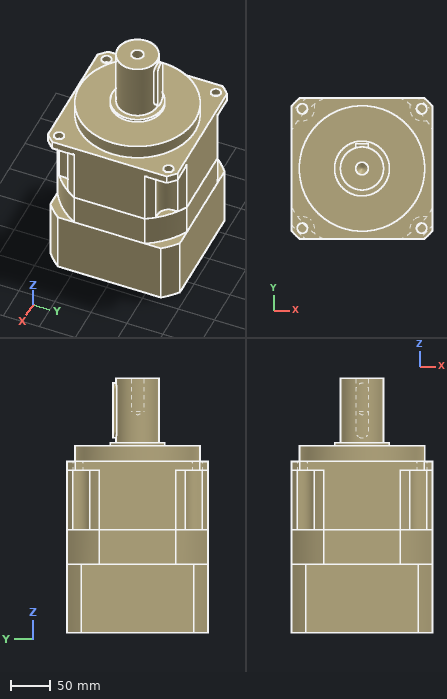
import cadquery as cq
import math

adapter_height = 87.5
ring_height = 44.0
housing_height = 87.0
flange_thickness = 11.5
pilot_height = 20.0
collar_height = 4.0
shaft_length = 82.0

ring_bottom = adapter_height
housing_bottom = ring_bottom + ring_height
housing_top = housing_bottom + housing_height
flange_bottom = housing_top - flange_thickness
pilot_top = housing_top + pilot_height
collar_top = pilot_top + collar_height
shaft_top = collar_top + shaft_length

body_width = 180.0
adapter_corner_diameter = 230.0
body_corner_diameter = 205.0
flange_corner_diameter = 240.0
pilot_diameter = 160.0

bolt_circle_diameter = 215.0
bolt_hole_diameter = 13.0
relief_radius = 15.0
bolt_offset = bolt_circle_diameter / 2 * math.sqrt(0.5)

shaft_diameter = 55.0
collar_diameter = 70.0
centre_hole_diameter = 16.0
centre_hole_depth = 42.0
drill_point_angle = 118.0

key_width = 16.0
key_length = 70.0
key_thickness = 10.0
key_top_from_axis = 31.5
key_end_gap = 6.0


def rounded_square(bottom, height, corner_diameter):
    """Square block whose corners are turned to a circle about the axis."""
    square = cq.Workplane("XY").workplane(offset=bottom).rect(body_width, body_width).extrude(height)
    disc = cq.Workplane("XY").workplane(offset=bottom).circle(corner_diameter / 2).extrude(height)
    return square.intersect(disc)


def cylinder(bottom, height, diameter):
    """Plain disc or bar on the gearbox axis."""
    return cq.Workplane("XY").workplane(offset=bottom).circle(diameter / 2).extrude(height)


def make_corner_relief():
    """Corner block whose inner edge is rounded about the bolt axis in the +X +Y corner."""
    inner = bolt_offset - relief_radius
    size = body_width / 2 - inner
    return (
        cq.Workplane("XY")
        .workplane(offset=housing_bottom)
        .center(inner, inner)
        .rect(size, size, centered=False)
        .extrude(flange_bottom - housing_bottom)
        .edges("|Z and <X and <Y")
        .fillet(relief_radius)
    )


def make_housing():
    """Output housing with relieved corners, bolting flange and locating pilot."""
    body = rounded_square(housing_bottom, flange_bottom - housing_bottom, body_corner_diameter)
    relief = make_corner_relief()
    for quarter_turn in (0, 90, 180, 270):
        body = body.cut(relief.rotate((0, 0, 0), (0, 0, 1), quarter_turn))
    flange = rounded_square(flange_bottom, flange_thickness, flange_corner_diameter)
    bolt_holes = (
        cq.Workplane("XY")
        .workplane(offset=flange_bottom)
        .rect(2 * bolt_offset, 2 * bolt_offset, forConstruction=True)
        .vertices()
        .circle(bolt_hole_diameter / 2)
        .extrude(flange_thickness)
    )
    pilot = cylinder(housing_top, pilot_height, pilot_diameter)
    return body.union(flange.cut(bolt_holes)).union(pilot)


def make_key():
    """Key lying along the shaft on its +Y side."""
    key_middle = shaft_top - key_end_gap - key_length / 2
    return (
        cq.Workplane("XZ", origin=(0, key_top_from_axis, key_middle))
        .slot2D(key_length, key_width, 90)
        .extrude(key_thickness)
    )


def make_shaft():
    """Shaft with its seating collar, drilled end hole and the key made as one with it."""
    collar = cylinder(pilot_top, collar_height, collar_diameter)
    journal = cylinder(collar_top, shaft_length, shaft_diameter)
    hole_radius = centre_hole_diameter / 2
    point_depth = hole_radius / math.tan(math.radians(drill_point_angle / 2))
    hole_floor = shaft_top - centre_hole_depth
    centre_hole = (
        cq.Workplane("XZ")
        .moveTo(0, shaft_top)
        .lineTo(hole_radius, shaft_top)
        .lineTo(hole_radius, hole_floor)
        .lineTo(0, hole_floor - point_depth)
        .close()
        .revolve(360, (0, 0, 0), (0, 1, 0))
    )
    return collar.union(journal).cut(centre_hole).union(make_key())


adapter = rounded_square(0, adapter_height, adapter_corner_diameter)
ring = rounded_square(ring_bottom, ring_height, body_corner_diameter)
housing = make_housing()
shaft = make_shaft()

result = cq.Compound.makeCompound([adapter.val(), ring.val(), housing.val(), shaft.val()])